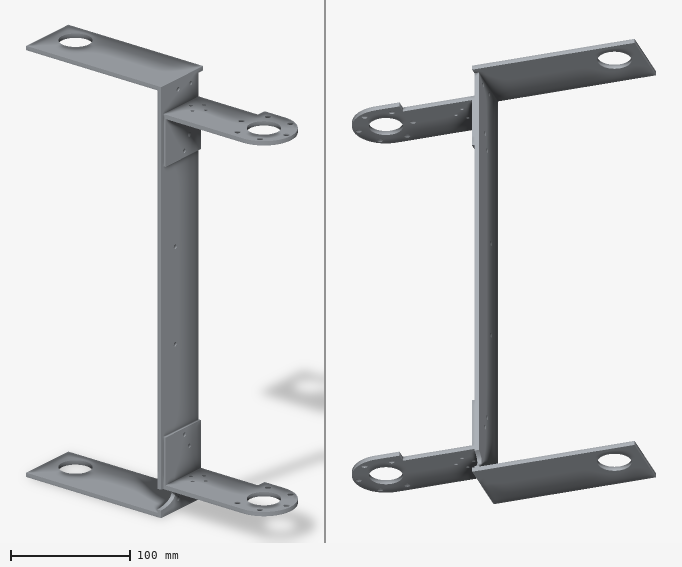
import cadquery as cq

height = 393.7
total_length = 257.0
total_width = 60.2
sheet = 4.0
mid_z = height / 2

flange_length = 143.7
flange_width = 57.5
web_width = 51.0
web_inner_x = flange_length - sheet
flange_hole_x = 25.0
flange_hole_y = 35.0

arm_inset = 25.5
leg_height = 47.5
leg_thickness = 2.5
head_diameter = 57.0
head_start_x = 207.0
head_x = total_length - head_diameter / 2
head_y = total_width - head_diameter / 2
arm_edge_y = total_width - head_diameter

bore_diameter = 28.7
bolt_diameter = 5.0
bolt_circle_diameter = 48.0
bolt_count = 6
pilot_diameter = 3.2
pilot_circle_diameter = 15.7
pilot_count = 4
pilot_center_x = 158.5
web_hole_diameter = 4.0
mirrored_web_holes = [
    (40.5, 10.0),
    (23.2, 10.0),
    (35.5, 54.7),
    (28.7, 67.5),
    (19.3, 152.5),
]

notch_z = 16.5
notch_half_length = 19.3
notch_half_height = 9.5
notch_spacing = 63.0


def box(x_range, y_range, z_range):
    """Box spanning the given (low, high) ranges."""
    (x0, x1), (y0, y1), (z0, z1) = x_range, y_range, z_range
    return cq.Workplane("XY").box(x1 - x0, y1 - y0, z1 - z0, centered=False).translate((x0, y0, z0))


def mirror_in_height(body):
    """Reflect a body about the mid-height plane."""
    return body.mirror("XY", (0, 0, mid_z))


def make_flange():
    """Lower flange with its round opening."""
    plate = box((0, flange_length), (0, flange_width), (0, sheet))
    opening = cq.Workplane("XY").center(flange_hole_x, flange_hole_y).circle(bore_diameter / 2).extrude(sheet)
    return plate.cut(opening)


def make_web():
    """Upright web with two elliptical notches, one in each long edge."""
    web = box((web_inner_x, flange_length), (0, web_width), (sheet, height - sheet))
    notches = (
        cq.Workplane("YZ", origin=(web_inner_x, 0, 0))
        .pushPoints([(0, notch_z), (notch_spacing, notch_z)])
        .ellipse(notch_half_length, notch_half_height)
        .extrude(sheet)
    )
    return web.cut(notches)


def make_bracket():
    """Lower bracket: arm with a round head, and a leg rising along the web."""
    arm = (
        cq.Workplane("XY", origin=(0, 0, arm_inset))
        .moveTo(flange_length, arm_edge_y)
        .lineTo(head_x, arm_edge_y)
        .threePointArc((total_length, head_y), (head_x, total_width))
        .lineTo(head_start_x, total_width)
        .lineTo(head_start_x, web_width)
        .lineTo(flange_length, web_width)
        .close()
        .extrude(sheet)
    )
    leg = box(
        (flange_length, flange_length + leg_thickness),
        (arm_edge_y, web_width),
        (arm_inset, arm_inset + leg_height),
    )
    bore = cq.Workplane("XY", origin=(head_x, head_y, arm_inset)).circle(bore_diameter / 2).extrude(sheet)
    bolt_step = 360 / bolt_count
    bolts = (
        cq.Workplane("XY", origin=(head_x, head_y, arm_inset))
        .polarArray(bolt_circle_diameter / 2, bolt_step - 180, 360 - 2 * bolt_step, bolt_count - 1)
        .circle(bolt_diameter / 2)
        .extrude(sheet)
    )
    pilots = (
        cq.Workplane("XY", origin=(pilot_center_x, head_y, arm_inset))
        .polarArray(pilot_circle_diameter / 2, 0, 360, pilot_count)
        .circle(pilot_diameter / 2)
        .extrude(sheet)
    )
    return arm.union(leg).cut(bore).cut(bolts).cut(pilots)


def make_web_holes():
    """Drills through the web and bracket legs, mirrored about mid-height."""
    lower = mirrored_web_holes
    upper = [(y, height - z) for y, z in lower]
    return (
        cq.Workplane("YZ", origin=(web_inner_x, 0, 0))
        .pushPoints(lower + upper)
        .circle(web_hole_diameter / 2)
        .extrude(sheet + leg_thickness)
    )


flange = make_flange()
bracket = make_bracket()

sixth_bolt = (
    cq.Workplane("XY", origin=(head_x - bolt_circle_diameter / 2, head_y, height - arm_inset - sheet))
    .circle(bolt_diameter / 2)
    .extrude(sheet)
)
upper_bracket = mirror_in_height(bracket).cut(sixth_bolt)

frame = make_web().union(flange).union(mirror_in_height(flange))
frame = frame.union(bracket).union(upper_bracket).cut(make_web_holes())
result = frame